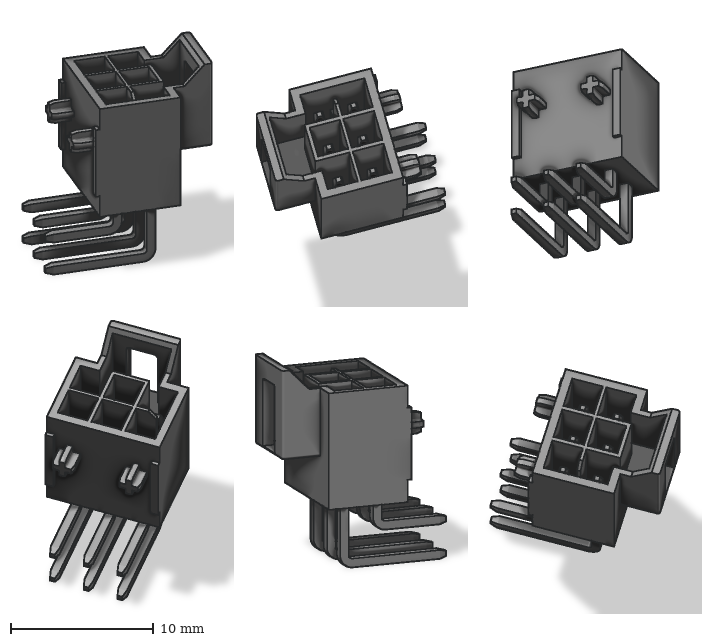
import cadquery as cq


housing_width = 8.45
housing_depth = 5.97
housing_height = 8.45

columns = 3
pitch = 2.52
row_pitch = 2.49
front_row_y = 1.75
divider = 0.3
cell_width = pitch - divider
cell_depth = row_pitch - divider
cell_floor_z = 1.61
column_x = [(i - (columns - 1) / 2) * pitch for i in range(columns)]
row_y = [front_row_y, front_row_y + row_pitch]
cells_back_y = row_y[1] + cell_depth / 2
ledge_z = 3.64
divider_step = 0.05

notch_x = 2.9
notch_chamfer = 0.57

latch_width = 5.22
latch_reach = 2.87
latch_back_y = housing_depth + latch_reach
latch_bottom_z = 3.49
latch_rise = 1.5
latch_top_z = housing_height + latch_rise
latch_land = 0.59
latch_back_wall = 0.88
latch_edge_radius = 0.19
latch_slot_width = 4.4
window_width = 2.35
window_top_z = housing_height + 0.13
window_radius = 0.3

rib_width = 0.59
rib_thickness = 0.3
rib_end_gap = 1.61

peg_x = 2.49
peg_z = 5.28
peg_length = 1.61
peg_radius = 0.82
peg_arm = 0.44
peg_corner_radius = 0.12
peg_tip_length = 0.41
peg_tip_inset = 0.12

pin_size = 0.65
pin_tip_size = 0.37
pin_tip_length = 0.54
pin_end_y = -3.5
pin_top_z = 6.6
pin_bend_radius = 0.3 + pin_size / 2
lower_tail_z = -4.72 + pin_size / 2
tail_spacing = 2.5


def block(x_range, y_range, z_range):
    """Box between the given limits on each axis."""
    size = [high - low for low, high in (x_range, y_range, z_range)]
    corner = (x_range[0], y_range[0], z_range[0])
    return cq.Workplane("XY").box(*size, centered=False).translate(corner)


def centred_block(width, y_range, z_range, x=0):
    """Box of the given width, centred on a plane of constant X."""
    return block((x - width / 2, x + width / 2), y_range, z_range)


def make_latch():
    """Solid latch with a sloped top and rounded outer edges."""
    slope_start_y = latch_back_y - latch_land
    latch = (
        cq.Workplane("YZ")
        .moveTo(cells_back_y, latch_bottom_z)
        .lineTo(latch_back_y, latch_bottom_z)
        .lineTo(latch_back_y, latch_top_z)
        .lineTo(slope_start_y, latch_top_z)
        .lineTo(slope_start_y - latch_rise, housing_height)
        .lineTo(cells_back_y, housing_height)
        .close()
        .extrude(latch_width / 2, both=True)
    )
    return latch.edges("(>Y and |Z) or (<Z and |Y) or (<Z and >Y)").fillet(latch_edge_radius)


def make_latch_slot():
    """Open-topped slot between latch and cells, and the window through the latch's back wall."""
    slot = centred_block(
        latch_slot_width,
        (cells_back_y - divider, latch_back_y - latch_back_wall),
        (ledge_z, latch_top_z),
    )
    window = centred_block(window_width, (cells_back_y, latch_back_y), (ledge_z, window_top_z))
    return slot.union(window.edges("|Y and >Z").fillet(window_radius))


def make_cells():
    """Six terminal cells; the front row is slightly deeper in Y above the ledge."""
    front_row_back_y = row_y[0] + cell_depth / 2
    cells = cq.Workplane("XY")
    for x in column_x:
        for y in row_y:
            y_range = (y - cell_depth / 2, y + cell_depth / 2)
            cells = cells.union(centred_block(cell_width, y_range, (cell_floor_z, housing_height), x))
        step_range = (front_row_back_y, front_row_back_y + divider_step)
        cells = cells.union(centred_block(cell_width, step_range, (ledge_z, housing_height), x))
    return cells


def make_divider_notch():
    """Gap beside the right wall, with a chamfered shoulder on the divider."""
    right_wall_x = column_x[-1] + cell_width / 2
    return (
        cq.Workplane("XZ", origin=(0, row_y[0], 0))
        .moveTo(notch_x, ledge_z)
        .lineTo(right_wall_x, ledge_z)
        .lineTo(right_wall_x, housing_height)
        .lineTo(notch_x - notch_chamfer, housing_height)
        .lineTo(notch_x, housing_height - notch_chamfer)
        .close()
        .extrude(-row_pitch)
    )


def make_ribs():
    """Two standoff ribs along the side edges of the mounting face."""
    z_range = (rib_end_gap, housing_height - rib_end_gap)
    rib_x = (housing_width - rib_width) / 2
    ribs = cq.Workplane("XY")
    for x in (-rib_x, rib_x):
        ribs = ribs.union(centred_block(rib_width, (-rib_thickness, 0), z_range, x))
    return ribs


def make_peg(x):
    """Cross-section peg cut from a round bar with a conical tip."""
    base = cq.Workplane("XZ", origin=(x, 0, peg_z))
    across = 2 * peg_radius
    cross = base.rect(across, peg_arm).extrude(peg_length)
    cross = cross.union(base.rect(peg_arm, across).extrude(peg_length))
    inner_corners = cq.selectors.BoxSelector(
        (x - peg_arm, -peg_length, peg_z - peg_arm),
        (x + peg_arm, 0, peg_z + peg_arm),
    )
    cross = cross.edges("|Y").edges(inner_corners).fillet(peg_corner_radius)
    bar = (
        base.circle(peg_radius)
        .extrude(peg_length)
        .faces("<Y")
        .chamfer(peg_tip_length, peg_tip_inset)
    )
    return cross.intersect(bar)


def make_tip(plane):
    """Tapered pin end standing on the given plane."""
    return (
        cq.Workplane(plane)
        .rect(pin_size, pin_size)
        .workplane(offset=pin_tip_length)
        .rect(pin_tip_size, pin_tip_size)
        .loft(combine=True)
    )


def make_pin(x, y, tail_z):
    """Square pin running down through the housing and bending toward -Y."""
    top_z = pin_top_z - pin_tip_length
    tail_end_y = pin_end_y + pin_tip_length
    path = (
        cq.Workplane("YZ", origin=(x, 0, 0))
        .moveTo(y, top_z)
        .lineTo(y, tail_z + pin_bend_radius)
        .radiusArc((y - pin_bend_radius, tail_z), pin_bend_radius)
        .lineTo(tail_end_y, tail_z)
    )
    shank = cq.Workplane("XY", origin=(x, y, top_z)).rect(pin_size, pin_size).sweep(path)
    top_tip = make_tip(cq.Plane((x, y, top_z), (1, 0, 0), (0, 0, 1)))
    tail_tip = make_tip(cq.Plane((x, tail_end_y, tail_z), (1, 0, 0), (0, -1, 0)))
    return shank.union(top_tip).union(tail_tip)


housing = centred_block(housing_width, (0, housing_depth), (0, housing_height))
housing = housing.union(make_latch())

middle_column = centred_block(
    pitch + divider,
    (row_y[0], cells_back_y + divider),
    (cell_floor_z, housing_height),
)
latch_slot = make_latch_slot().cut(middle_column)
housing = housing.cut(latch_slot).cut(make_cells()).cut(make_divider_notch())

result = housing.union(make_ribs())
for side in (-1, 1):
    result = result.union(make_peg(side * peg_x))

tail_z_of_row = [lower_tail_z + tail_spacing, lower_tail_z]
for x in column_x:
    for y, tail_z in zip(row_y, tail_z_of_row):
        result = result.union(make_pin(x, y, tail_z))